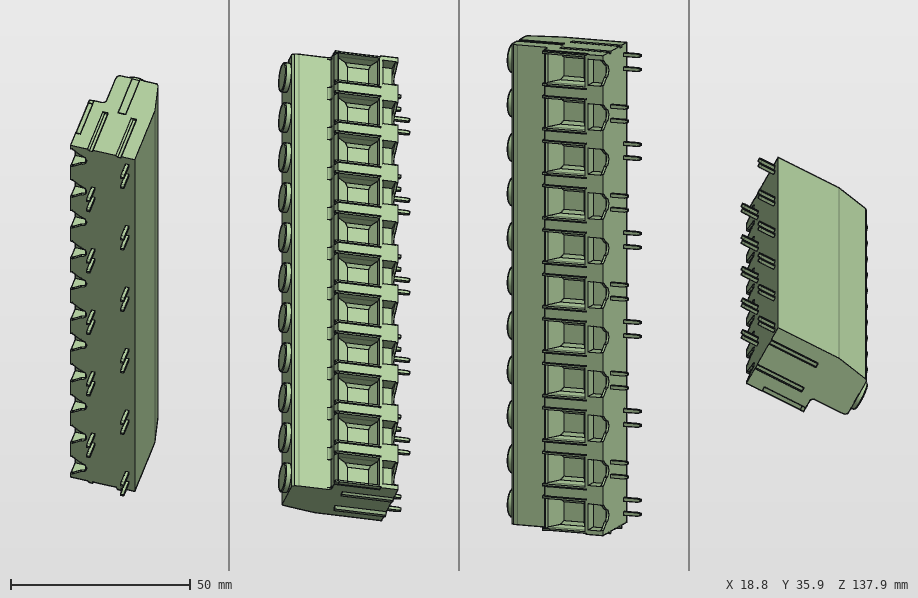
import cadquery as cq


pole_count = 11
total_length = 137.9
tongue_height = 0.8
low_tongue_height = 0.5
body_length = total_length - tongue_height
body_width = 18.8
body_height = 29.2
pole_width = 10.0
pole_pitch = (body_length - pole_width) / (pole_count - 1)
pole_centres = [pole_width / 2 + pole_pitch * i for i in range(pole_count)]

back_slope_start = 19.3
back_top_x = 16.8
back_corner_x = 0.4
back_corner_y = 0.5
front_wall_x = 4.7
bevel_start_y = 27.3
bevel_middle = (4.8, 28.5)
bevel_end_x = 5.4
ledge_height = 18.0
ledge_fillet = 1.1
fillet_relief_width = 8.8

opening_low = 5.4
opening_high = 17.1
opening_width = 8.5
opening_depth = 2.0
throat_low, throat_high, throat_width = 6.9, 14.2, 7.5
throat_depth = 1.9
square_depth = 0.5
square_width = 5.4
depth_ratio = (throat_depth + square_depth) / throat_depth
square_low = opening_low + (throat_low - opening_low) * depth_ratio
square_high = opening_high - (opening_high - throat_high) * depth_ratio

groove_width = 0.3
groove_depth = 1.4
groove_bottom = 5.0
groove_step = 17.0
groove_upper_width = 0.1
fin_thickness = 0.4
ledge_bevel_depth = 1.7
ledge_bevel_height = 0.8

notch_height = 4.4
notch_width = 7.5
notch_depth = 4.1
lip_thickness = 0.7
lip_mouth_width = 7.2
lip_straight_x = 0.5
lip_shoulder_x = 3.0
lip_shoulder_width = 3.6
lip_tip_x = 4.7

screw_radius = 4.1
screw_height = 1.7
screw_x = 9.9
screw_chamfer = 0.3

pin_size = 1.0
pin_length = 5.0
pin_spacing = 4.0
pin_row_x = (16.5, 6.6)
tip_length = 0.8
tip_size = 0.5

rail_width = 1.5
rail_slant = 0.5
rail_length = 14.8
rail_x = (5.0, 13.2)
rail_groove_depth = 0.5
label_slot_x = 9.1
label_slot_width = 2.2
label_slot_bottom = 15.7
label_slot_depth = 0.3


def block(x, y, z):
    """Box spanning the given (low, high) pairs."""
    return cq.Workplane("XY").box(
        x[1] - x[0], y[1] - y[0], z[1] - z[0], centered=False
    ).translate((x[0], y[0], z[0]))


def span(centre, width):
    """(low, high) pair of a width about a centre."""
    return (centre - width / 2, centre + width / 2)


def taper(x_start, start, depth, end):
    """Pocket along +X between two (y low, y high, z width) rectangles centred on Z = 0."""

    def outline(size):
        y_low, y_high, width = size
        return [(y_low, -width / 2), (y_high, -width / 2), (y_high, width / 2), (y_low, width / 2)]

    return (
        cq.Workplane("YZ", origin=(x_start, 0, 0))
        .polyline(outline(start)).close()
        .workplane(offset=depth)
        .polyline(outline(end)).close()
        .loft(ruled=True)
    )


def housing():
    return (
        cq.Workplane("XY")
        .moveTo(0, 0)
        .lineTo(body_width, 0)
        .lineTo(body_width, back_slope_start)
        .lineTo(back_top_x, body_height - back_corner_y)
        .lineTo(back_top_x - back_corner_x, body_height)
        .lineTo(bevel_end_x, body_height)
        .lineTo(*bevel_middle)
        .lineTo(front_wall_x, bevel_start_y)
        .lineTo(front_wall_x, ledge_height + ledge_fillet)
        .radiusArc((front_wall_x - ledge_fillet, ledge_height), ledge_fillet)
        .lineTo(0, ledge_height)
        .close()
        .extrude(body_length)
    )


def ledge_bevel(width):
    """Wedge that bevels the front edge of the ledge, centred on Z = 0."""
    return (
        cq.Workplane("XY", origin=(0, 0, -width / 2))
        .polyline([
            (0, ledge_height),
            (0, ledge_height - ledge_bevel_height),
            (ledge_bevel_depth, ledge_height),
        ])
        .close()
        .extrude(width)
    )


def funnel():
    opening = (opening_low, opening_high, opening_width)
    throat = (throat_low, throat_high, throat_width)
    square = (square_low, square_high, square_width)
    mouth = block((0, opening_depth), (opening_low, opening_high), span(0, opening_width))
    cone = taper(opening_depth, opening, throat_depth, throat)
    end = taper(opening_depth + throat_depth, throat, square_depth, square)
    return mouth.union(cone).union(end)


def notch():
    pocket = block((0, notch_depth), (lip_thickness, notch_height), span(0, notch_width))
    lip_cut = (
        cq.Workplane("XZ")
        .moveTo(0, -lip_mouth_width / 2)
        .lineTo(lip_straight_x, -lip_mouth_width / 2)
        .lineTo(lip_shoulder_x, -lip_shoulder_width / 2)
        .threePointArc((lip_tip_x, 0), (lip_shoulder_x, lip_shoulder_width / 2))
        .lineTo(lip_straight_x, lip_mouth_width / 2)
        .lineTo(0, lip_mouth_width / 2)
        .close()
        .extrude(-lip_thickness)
    )
    return pocket.union(lip_cut)


def side_groove(side):
    """Groove along one side of a pole, narrower near the ledge; side is the sign of Z."""

    def strip(y, width):
        z = sorted((side * pole_width / 2, side * (pole_width / 2 - width)))
        return block((0, groove_depth), y, z)

    lower = strip((groove_bottom, groove_step), groove_width)
    upper = strip((groove_step, ledge_height), groove_upper_width)
    return lower.union(upper)


def pole_cut():
    """Everything removed from the housing at one pole, centred on Z = 0."""
    fillet_relief = block(
        (front_wall_x - ledge_fillet, front_wall_x),
        (ledge_height, ledge_height + ledge_fillet),
        span(0, fillet_relief_width),
    )
    bevel = ledge_bevel(pole_width - 2 * (groove_width + fin_thickness))
    cut = funnel().union(notch()).union(fillet_relief).union(bevel)
    return cut.union(side_groove(-1)).union(side_groove(1))


def pin(x, z):
    straight = pin_length - tip_length
    return (
        cq.Workplane("XZ", origin=(x, 0, z))
        .rect(pin_size, pin_size)
        .extrude(straight)
        .faces("<Y").workplane()
        .rect(pin_size, pin_size)
        .workplane(offset=tip_length)
        .rect(pin_size, tip_size)
        .loft(combine=True)
    )


def screw_head(z):
    return (
        cq.Workplane("XZ", origin=(screw_x, body_height, z))
        .circle(screw_radius)
        .extrude(-screw_height)
        .faces(">Y").chamfer(screw_chamfer)
    )


def rail(x, depth, z):
    """Rail along Y with one slanted flank, reaching down from the given Z."""
    return (
        cq.Workplane("XZ")
        .polyline([
            (x, z),
            (x + rail_width, z),
            (x + rail_width, z - depth),
            (x + rail_slant, z - depth),
        ])
        .close()
        .extrude(-rail_length)
    )


body = housing()

one_pole = pole_cut()
for z in pole_centres:
    body = body.cut(one_pole.translate((0, 0, z)))

web_bevel = ledge_bevel(pole_pitch - pole_width)
for z in pole_centres[:-1]:
    body = body.cut(web_bevel.translate((0, 0, z + pole_pitch / 2)))

label_slot = block(
    (label_slot_x, label_slot_x + label_slot_width),
    (label_slot_bottom, body_height),
    (body_length - label_slot_depth, body_length),
)
body = body.cut(label_slot)

for x, tongue in zip(rail_x, (low_tongue_height, tongue_height)):
    body = body.cut(rail(x, rail_groove_depth, body_length))
    body = body.union(rail(x, tongue, 0))

for i, z in enumerate(reversed(pole_centres)):
    body = body.union(screw_head(z))
    for pin_z in span(z, pin_spacing):
        body = body.union(pin(pin_row_x[i % 2], pin_z))

result = body